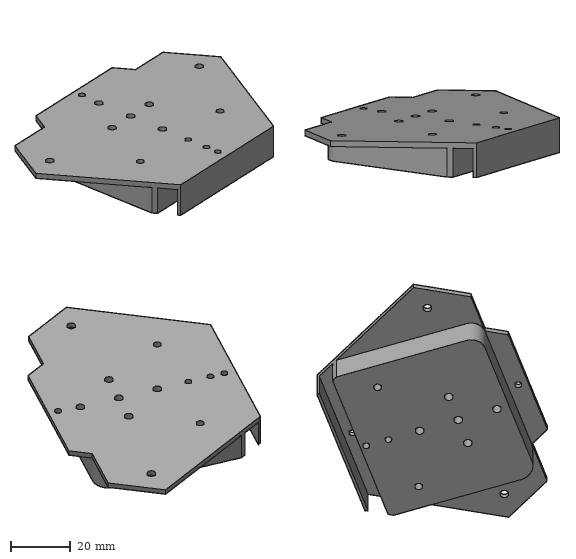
import cadquery as cq
import math

slant = math.tan(math.radians(30))
plate_thickness = 2.0
plate_width = 99.63
plate_right_x = 41.9
plate_apex_x = -1.0
plate_step_x = -18.1
plate_half_width = plate_width / 2
right_edge_half_width = plate_half_width - (plate_right_x - plate_apex_x) * slant
step_half_width = plate_half_width - (plate_apex_x - plate_step_x) * slant

tab_length = 6.93
tab_center_y = 0.6
tab_half_width = 20.55
tab_tip_x = plate_step_x - tab_length
tab_root_half_width = tab_half_width + tab_length * slant

drop = 10.0
block_right_x = 35.0
block_width = 60.0
front_corner_radius = 6.0
back_corner_radius = 5.0
lip_thickness = 1.0

large_hole_diameter = 2.9
outer_hole_diameter = 2.89
medium_hole_diameter = 2.6
tab_hole_diameter = 2.3
small_hole_diameter = 2.25
cross_spacing_x = 13.8
cross_spacing_y = 10.0
large_holes = [
    (0, 0),
    (-cross_spacing_x, 0),
    (cross_spacing_x, 0),
    (0, -cross_spacing_y),
    (0, cross_spacing_y),
]
outer_holes = [(-2.7, -40.3), (-2.7, 40.3)]
medium_holes = [(21.5, -21.5), (21.5, 21.5)]
tab_holes = [(-21.6, tab_center_y)]
small_holes = [(24.95, 0), (32.9, 0), (37.85, 0)]


def outline_prism(bottom_z, height):
    """Prism over the whole plate outline."""
    points = [
        (plate_apex_x, plate_half_width),
        (plate_right_x, right_edge_half_width),
        (plate_right_x, -right_edge_half_width),
        (plate_apex_x, -plate_half_width),
        (plate_step_x, -step_half_width),
        (plate_step_x, tab_center_y - tab_root_half_width),
        (tab_tip_x, tab_center_y - tab_half_width),
        (tab_tip_x, tab_center_y + tab_half_width),
        (plate_step_x, tab_center_y + tab_root_half_width),
        (plate_step_x, step_half_width),
    ]
    return cq.Workplane("XY").workplane(offset=bottom_z).polyline(points).close().extrude(height)


def drop_box(left_x, right_x, width):
    """Box reaching from the underside of the plate down by the drop."""
    box = cq.Workplane("XY").box(right_x - left_x, width, drop, centered=(False, True, False))
    return box.translate((left_x, 0, -drop))


def block():
    """Block with two rounded corners on its -X side."""
    body = drop_box(plate_step_x, block_right_x, block_width)
    body = body.edges("|Z and <X and <Y").fillet(front_corner_radius)
    return body.edges("|Z and <X and >Y").fillet(back_corner_radius)


def lip():
    """Thin wall along the +X edge of the plate."""
    return drop_box(plate_right_x - lip_thickness, plate_right_x, plate_width)


def drill(body, centers, diameter):
    """Through holes of one diameter."""
    total_height = plate_thickness + drop
    cutters = cq.Workplane("XY").workplane(offset=-drop)
    cutters = cutters.pushPoints(centers).circle(diameter / 2).extrude(total_height)
    return body.cut(cutters)


trim = outline_prism(-drop, drop)
result = outline_prism(0, plate_thickness).union(block().union(lip()).intersect(trim))
result = drill(result, large_holes, large_hole_diameter)
result = drill(result, outer_holes, outer_hole_diameter)
result = drill(result, medium_holes, medium_hole_diameter)
result = drill(result, tab_holes, tab_hole_diameter)
result = drill(result, small_holes, small_hole_diameter)